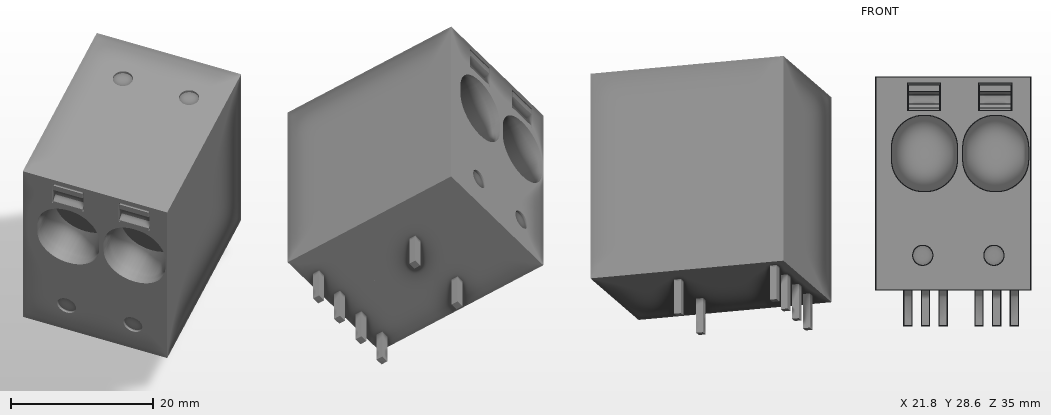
import cadquery as cq


HOUSING_WIDTH = 21.8
HOUSING_DEPTH = 28.55
PIN_LENGTH = 5.0
OVERALL_HEIGHT = 35
HOUSING_HEIGHT = OVERALL_HEIGHT - PIN_LENGTH

POLE_COUNT = 2
POLE_PITCH = 10.0
FIRST_ENTRY_X = 6.85
FIRST_BUTTON_X = 6.8
FIRST_TEST_X = 6.6
FIRST_CONTACT_X = 7.0

ENTRY_WIDTH = 9.3
ENTRY_HEIGHT = 10.75
ENTRY_CENTER_Z = 19.2
ENTRY_DEPTH = 6.5
ENTRY_CORNER_RADIUS = 4.55

TEST_HOLE_DIAMETER = 2.85
TEST_HOLE_DEPTH = 0.4
FRONT_TEST_HOLE_Z = 4.9
TOP_TEST_HOLE_Y = 21.7

POCKET_WIDTH = 4.7
POCKET_BOTTOM_Z = 25.25
POCKET_HEIGHT = 3.92
POCKET_DEPTH = 4.2
BUTTON_SIDE_GAP = 0.15
BUTTON_TOP_GAP = 0.3
LIP_HEIGHT = 0.4
RAMP_HEIGHT = 0.55
GROOVE_WALL_HEIGHT = 1.3
GROOVE_ROOF_RISE = 0.45
GROOVE_DEPTH = 0.85

PIN_WIDTH = 1.2
PIN_THICKNESS = 1.0
PIN_PITCH = 2.5
FRONT_PIN_Y = 11.5
REAR_PIN_Y = 26.5
PLATE_THICKNESS = 1.0


def pole_positions(first_x):
    return [first_x + pole * POLE_PITCH for pole in range(POLE_COUNT)]


def block(x_min, y_min, z_min, width, depth, height):
    return cq.Workplane("XY").box(width, depth, height, centered=False).translate((x_min, y_min, z_min))


def wire_entry(center_x):
    outline = cq.Workplane("XZ").center(center_x, ENTRY_CENTER_Z).rect(ENTRY_WIDTH, ENTRY_HEIGHT)
    return outline.extrude(-ENTRY_DEPTH).edges("|Y").fillet(ENTRY_CORNER_RADIUS)


def front_test_hole(center_x):
    circle = cq.Workplane("XZ").center(center_x, FRONT_TEST_HOLE_Z).circle(TEST_HOLE_DIAMETER / 2)
    return circle.extrude(-TEST_HOLE_DEPTH)


def top_test_hole(center_x):
    plane = cq.Workplane("XY", origin=(0, 0, HOUSING_HEIGHT))
    return plane.center(center_x, TOP_TEST_HOLE_Y).circle(TEST_HOLE_DIAMETER / 2).extrude(-TEST_HOLE_DEPTH)


def button_pocket(center_x):
    return block(
        center_x - POCKET_WIDTH / 2, 0, POCKET_BOTTOM_Z, POCKET_WIDTH, POCKET_DEPTH, POCKET_HEIGHT
    )


def contact_plate(center_x):
    width = 2 * PIN_PITCH + PIN_WIDTH
    depth = REAR_PIN_Y - FRONT_PIN_Y + PIN_THICKNESS
    return block(
        center_x - width / 2, FRONT_PIN_Y - PIN_THICKNESS / 2, 0, width, depth, PLATE_THICKNESS
    )


def make_housing():
    housing = block(0, 0, 0, HOUSING_WIDTH, HOUSING_DEPTH, HOUSING_HEIGHT)
    for x in pole_positions(FIRST_ENTRY_X):
        housing = housing.cut(wire_entry(x))
    for x in pole_positions(FIRST_BUTTON_X):
        housing = housing.cut(button_pocket(x))
    for x in pole_positions(FIRST_TEST_X):
        housing = housing.cut(front_test_hole(x)).cut(top_test_hole(x))
    for x in pole_positions(FIRST_CONTACT_X):
        housing = housing.cut(contact_plate(x))
    return housing


def make_button(center_x):
    """Button on the pocket floor, flush with the housing front, with a finger groove across it."""
    width = POCKET_WIDTH - 2 * BUTTON_SIDE_GAP
    bottom = POCKET_BOTTOM_Z
    lip_top = bottom + LIP_HEIGHT
    ramp_top = lip_top + RAMP_HEIGHT
    wall_top = ramp_top + GROOVE_WALL_HEIGHT
    roof_top = wall_top + GROOVE_ROOF_RISE
    top = POCKET_BOTTOM_Z + POCKET_HEIGHT - BUTTON_TOP_GAP
    profile = [
        (0, bottom),
        (0, lip_top),
        (GROOVE_DEPTH, ramp_top),
        (GROOVE_DEPTH, wall_top),
        (0, roof_top),
        (0, top),
        (POCKET_DEPTH, top),
        (POCKET_DEPTH, bottom),
    ]
    side = cq.Workplane("YZ", origin=(center_x - width / 2, 0, 0))
    return side.polyline(profile).close().extrude(width)


def make_contact(center_x):
    """Outer two pins stand in the rear row, the middle one in the front row."""
    contact = contact_plate(center_x)
    pin_places = [(-PIN_PITCH, REAR_PIN_Y), (0, FRONT_PIN_Y), (PIN_PITCH, REAR_PIN_Y)]
    for offset_x, y in pin_places:
        pin = block(
            center_x + offset_x - PIN_WIDTH / 2,
            y - PIN_THICKNESS / 2,
            -PIN_LENGTH,
            PIN_WIDTH,
            PIN_THICKNESS,
            PIN_LENGTH,
        )
        contact = contact.union(pin)
    return contact


housing = make_housing()
buttons = [make_button(x) for x in pole_positions(FIRST_BUTTON_X)]
contacts = [make_contact(x) for x in pole_positions(FIRST_CONTACT_X)]

result = cq.Compound.makeCompound(
    [housing.val(), *[button.val() for button in buttons], *[contact.val() for contact in contacts]]
)